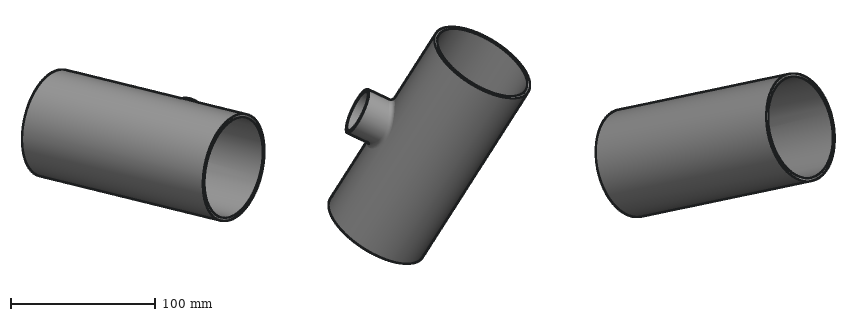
import cadquery as cq

run_length = 152.0
run_outer_diameter = 76.2
run_inner_diameter = 71.5

branch_outer_diameter = 33.7
branch_inner_diameter = 29.6
branch_projection = 18.8
branch_reach = run_outer_diameter / 2 + branch_projection

junction_fillet = 3.0


def run_cylinder(diameter):
    """Solid cylinder along X, centred on the origin."""
    return cq.Workplane("YZ").circle(diameter / 2).extrude(run_length / 2, both=True)


def branch_cylinder(diameter):
    """Solid cylinder from the run axis to the open end of the branch."""
    return cq.Workplane("XZ").circle(diameter / 2).extrude(-branch_reach)


body = run_cylinder(run_outer_diameter).union(branch_cylinder(branch_outer_diameter))
junction_zone = cq.selectors.BoxSelector(
    (-branch_outer_diameter, 0, -branch_outer_diameter),
    (branch_outer_diameter, run_outer_diameter / 2, branch_outer_diameter),
)
body = body.edges(junction_zone).edges("not %LINE").fillet(junction_fillet)

result = body.cut(run_cylinder(run_inner_diameter)).cut(branch_cylinder(branch_inner_diameter))